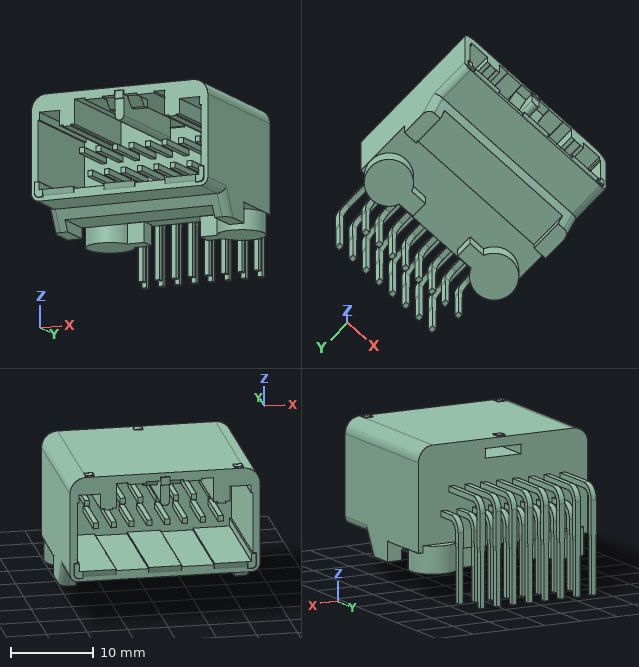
import cadquery as cq


width = 23.5
half_width = width / 2
length = 18.48
height = 13.29
top_radius = 2.0
bottom_radius = 0.98

foot_drop = 2.6
foot_rear_y = 10.71
foot_toe_y = 6.42
foot_slope_y = 4.93
foot_opening_half_width = 9.79
foot_crossbar_z = -1.25

cavity_depth = 13.8
floor_z = 1.17
ceiling_z = 12.07
recess_z = 12.28
side_half_width = 10.85
corner_half_width = 10.63
corner_low_z = 2.4
corner_high_z = 10.08
shoulder_z = 11.05
recess_inner_x = 4.6

key_inner_x = 6.0
key_outer_x = 8.0
key_z = 9.18
key_tongue_inset = 0.5
key_tongue_drop = 0.19
rib_width = 1.15
rib_bottom_z = 9.1

front_pad = 0.2
top_pad_height = 0.1
top_pad_width = 1.1
top_pad_length = 1.0
top_pad_front_y = 0.45
top_pad_rear_y = 16.95
rib_pad_bottom_z = 11.77
rib_pad_top_z = 12.78
corner_pad_x = 11.25
corner_pad_end_x = 10.18
corner_pad_z = 0.48
corner_pad_radius = 0.5

strip_top_z = 1.38
strip_root_z = 0.65
center_strip_half_width = 2.05
side_strip_inner_x = 6.07

latch_half_width = 2.28
latch_start_y = 1.05
latch_ramp_length = recess_z - shoulder_z
latch_end_y = 3.18
window_half_width = 2.45
window_bottom_z = 10.87

post_radius = 3.0
post_top_z = 0.9
post_x = half_width - post_radius
post_y = 16.68
post_lug_inner_x = 3.7
post_lug_depth = 2.23

pins_per_row = 8
pitch = 2.2
pin_thickness = 0.72
pin_width = 0.75
pin_end_width = 0.64
pin_tip_y = 7.21
pin_bottom_z = -5.8
pin_overhang = 7.82
pin_bend_radius = 2.35 / 2
pin_taper_top_z = 1.7
pin_taper_bottom_z = 1.2
pin_widening_y = 15.38
upper_row_z = 7.58
lower_row_z = 4.61
upper_row_rear_y = length + pin_overhang
row_spacing_y = 3.47


def block(x0, x1, y0, y1, z0, z1):
    """Box between two opposite corners."""
    return cq.Workplane("XY").box(x1 - x0, y1 - y0, z1 - z0, centered=False).translate((x0, y0, z0))


def across_x(half, points):
    """Extrude a (Y, Z) outline to both sides of the centre plane."""
    return cq.Workplane("YZ").polyline(points).close().extrude(half, both=True)


def along_y(y0, y1, points):
    """Extrude an (X, Z) outline from y0 to y1."""
    return cq.Workplane("XZ", origin=(0, y0, 0)).polyline(points).close().extrude(y0 - y1)


def both_sides(solid):
    """Add the mirror image in the YZ plane."""
    return solid.union(solid.mirror("YZ"))


def shell():
    """Outer block with its foot, rounded along its long edges."""
    body = across_x(half_width, [
        (0, 0),
        (foot_slope_y, 0),
        (foot_toe_y, -foot_drop),
        (foot_rear_y, -foot_drop),
        (foot_rear_y, 0),
        (length, 0),
        (length, height),
        (0, height),
    ])
    body = body.faces(">Z").edges("|Y").fillet(top_radius)
    lower_corners = cq.selectors.BoxSelector(
        (-width, 0, -foot_drop),
        (width, foot_toe_y, bottom_radius),
    )
    body = body.edges(lower_corners).edges("not (|X or |Z)").fillet(bottom_radius)
    opening = block(
        -foot_opening_half_width, foot_opening_half_width, 0, foot_rear_y, -foot_drop, foot_crossbar_z
    )
    return body.cut(opening)


def cavity():
    """Stepped cavity with the keys left standing."""
    tongue_inner_x = key_inner_x + key_tongue_inset
    tongue_outer_x = key_outer_x - key_tongue_inset
    tongue_z = key_z - key_tongue_drop
    half = [
        (corner_half_width, floor_z),
        (corner_half_width, corner_low_z),
        (side_half_width, corner_low_z),
        (side_half_width, corner_high_z),
        (corner_half_width, corner_high_z),
        (corner_half_width, shoulder_z),
        (key_outer_x, shoulder_z),
        (key_outer_x, key_z),
        (tongue_outer_x, key_z),
        (tongue_outer_x, tongue_z),
        (tongue_inner_x, tongue_z),
        (tongue_inner_x, key_z),
        (key_inner_x, key_z),
        (key_inner_x, recess_z),
        (recess_inner_x, recess_z),
        (recess_inner_x, ceiling_z),
    ]
    return along_y(0, cavity_depth, half + [(-x, z) for x, z in reversed(half)])


def latch_recess():
    """Ceiling relief leading to the latch ramp."""
    ramp_end_y = latch_start_y + latch_ramp_length
    return block(-latch_half_width, latch_half_width, 0, ramp_end_y, ceiling_z, recess_z)


def latch():
    """Ramp that slopes down from the ceiling towards the rear."""
    ramp_end_y = latch_start_y + latch_ramp_length
    return across_x(latch_half_width, [
        (latch_start_y, recess_z),
        (ramp_end_y, shoulder_z),
        (latch_end_y, shoulder_z),
        (latch_end_y, recess_z),
    ])


def window():
    """Opening through the rear wall in line with the latch."""
    return block(-window_half_width, window_half_width, cavity_depth, length, window_bottom_z, ceiling_z)


def center_rib():
    """Key with a rounded lower edge, and the pad on its front end."""
    half = rib_width / 2
    rib = block(-half, half, 0, cavity_depth, rib_bottom_z + half, recess_z)
    edge = cq.Workplane("XZ", origin=(0, 0, rib_bottom_z + half)).circle(half).extrude(-cavity_depth)
    pad = block(-half, half, -front_pad, 0, rib_pad_bottom_z, rib_pad_top_z)
    return rib.union(edge).union(pad)


def floor_strip(x0, x1):
    """Guide strip with a wedge-shaped nose in front of the mating face."""
    profile = [
        (-front_pad, strip_top_z),
        (0, strip_root_z),
        (cavity_depth, strip_root_z),
        (cavity_depth, strip_top_z),
    ]
    return cq.Workplane("YZ", origin=(x0, 0, 0)).polyline(profile).close().extrude(x1 - x0)


def corner_pad():
    """L-shaped pad in the lower right corner of the mating face."""
    arc_half = corner_pad_radius * (1 - 0.5 ** 0.5)
    return (
        cq.Workplane("XZ")
        .moveTo(corner_pad_end_x, corner_pad_z)
        .lineTo(corner_pad_x - corner_pad_radius, corner_pad_z)
        .threePointArc(
            (corner_pad_x - arc_half, corner_pad_z + arc_half),
            (corner_pad_x, corner_pad_z + corner_pad_radius),
        )
        .lineTo(corner_pad_x, corner_low_z)
        .lineTo(corner_half_width, corner_low_z)
        .lineTo(corner_half_width, strip_top_z)
        .lineTo(corner_pad_end_x, strip_top_z)
        .close()
        .extrude(front_pad)
    )


def top_pad(x0, y0):
    """Small raised pad on the top face."""
    return block(x0, x0 + top_pad_width, y0, y0 + top_pad_length, height, height + top_pad_height)


def post():
    """Round mounting post with a lug on its inner side."""
    cylinder = (
        cq.Workplane("XY", origin=(post_x, post_y, -foot_drop))
        .circle(post_radius)
        .extrude(foot_drop + post_top_z)
    )
    lug = block(
        post_lug_inner_x, post_x, post_y - post_lug_depth / 2, post_y + post_lug_depth / 2, -foot_drop, 0
    )
    return cylinder.union(lug)


def pin(row_z, rear_y):
    """Right-angle pin, wider between the rear wall and its soldering end."""
    top_z = row_z + pin_thickness / 2
    under_z = row_z - pin_thickness / 2
    front_y = rear_y - pin_thickness
    bent_bar = (
        cq.Workplane("YZ")
        .moveTo(pin_tip_y, under_z)
        .lineTo(pin_tip_y, top_z)
        .lineTo(rear_y, top_z)
        .lineTo(rear_y, pin_bottom_z)
        .lineTo(front_y, pin_bottom_z)
        .lineTo(front_y, under_z)
        .close()
        .extrude(pin_width / 2, both=True)
        .edges(cq.selectors.NearestToPointSelector((0, front_y, under_z)))
        .fillet(pin_bend_radius)
        .edges(cq.selectors.NearestToPointSelector((0, rear_y, top_z)))
        .fillet(pin_bend_radius + pin_thickness)
    )
    half = pin_width / 2
    end_half = pin_end_width / 2
    leg_side = along_y(front_y, rear_y, [
        (end_half, pin_bottom_z),
        (half, pin_bottom_z),
        (half, pin_taper_top_z),
        (end_half, pin_taper_bottom_z),
    ])
    contact_side = block(end_half, half, pin_tip_y, pin_widening_y, under_z, top_z)
    return bent_bar.cut(both_sides(leg_side)).cut(both_sides(contact_side))


def pin_row(center_x, row_z, rear_y):
    """Evenly spaced pins about center_x."""
    first_x = center_x - pitch * (pins_per_row - 1) / 2
    single = pin(row_z, rear_y)
    return [single.translate((first_x + i * pitch, 0, 0)) for i in range(pins_per_row)]


result = shell().cut(cavity()).cut(latch_recess()).cut(window())
result = result.union(latch()).union(center_rib())
result = result.union(floor_strip(-center_strip_half_width, center_strip_half_width))
result = result.union(both_sides(floor_strip(side_strip_inner_x, corner_half_width)))

result = result.union(both_sides(corner_pad()))
result = result.union(both_sides(top_pad(half_width - top_radius - top_pad_width, top_pad_front_y)))
result = result.union(top_pad(-top_pad_width / 2, top_pad_rear_y))
result = result.union(both_sides(post()))

upper_row = pin_row(-pitch / 4, upper_row_z, upper_row_rear_y)
lower_row = pin_row(pitch / 4, lower_row_z, upper_row_rear_y - row_spacing_y)
for terminal in upper_row + lower_row:
    result = result.union(terminal)